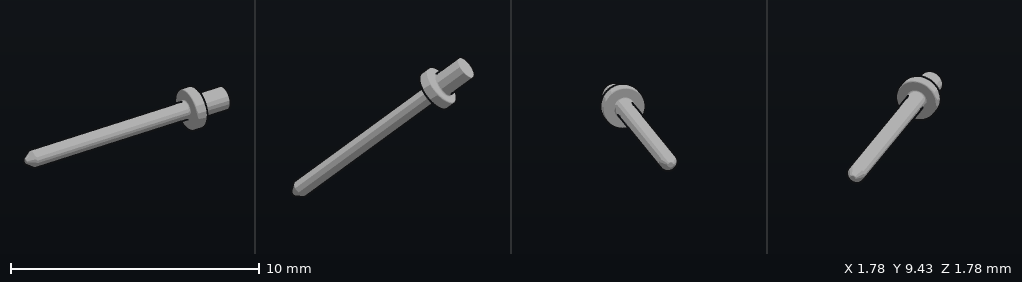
import cadquery as cq

total_length = 9.43
shank_radius = 0.382
collar_radius = 0.891
tail_radius = 0.51
tip_radius = 0.13
tip_length = 0.36
collar_thickness = 0.51
tail_length = 1.3
edge_fillet = 0.08
tail_end_fillet = 0.03

tip_end = -total_length / 2
cone_base = tip_end + tip_length
tail_end = total_length / 2
collar_back = tail_end - tail_length
collar_front = collar_back - collar_thickness

pin = (
    cq.Workplane("XY")
    .moveTo(0, tip_end)
    .lineTo(tip_radius, tip_end)
    .lineTo(shank_radius, cone_base)
    .lineTo(shank_radius, collar_front)
    .lineTo(collar_radius, collar_front)
    .lineTo(collar_radius, collar_back)
    .lineTo(tail_radius, collar_back)
    .lineTo(tail_radius, tail_end)
    .lineTo(0, tail_end)
    .close()
    .revolve(360, (0, 0), (0, 1))
)

pin = pin.faces(">Y").edges("%CIRCLE").fillet(tail_end_fillet)
rounded_corners = pin.edges("%CIRCLE").filter(
    lambda edge: edge.Center().y < collar_back + edge_fillet
)
result = rounded_corners.fillet(edge_fillet)